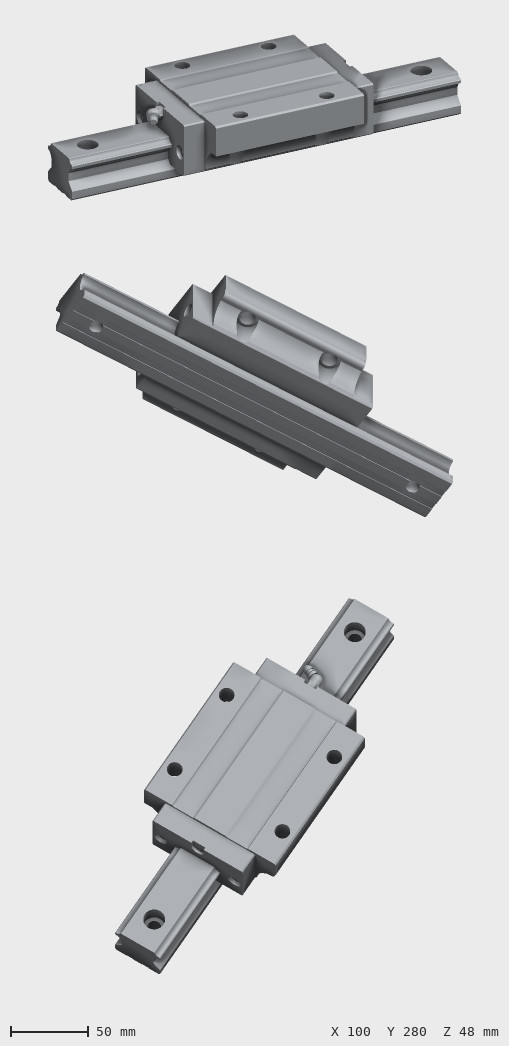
import cadquery as cq
import math


rail_length = 280.0
rail_height = 28.5
rail_half_width = 17.0
rail_neck_half_width = 11.8
rail_top_half_width = 13.0
rail_top_chamfer = 0.3
rail_foot_chamfer = 1.5
foot_side_top = 6.7
neck_top = 17.5
upper_lip_chamfer = 0.5
track_sag = 0.8
lower_track_z = (19.3, 22.7)
upper_track_z = (25.2, rail_height - rail_top_chamfer)
base_groove_inner = 3.5
base_groove_outer = 8.5
base_groove_depth = 0.5
rail_hole_diameter = 9.0
rail_bore_diameter = 14.0
rail_bore_depth = 12.0
rail_hole_end_distance = 20.0
rail_hole_y = rail_length / 2 - rail_hole_end_distance

total_height = 48.0
block_length = 106.7
flange_width = 100.0
flange_half_width = flange_width / 2
flange_underside = 27.0
flange_chamfer = 1.0
flange_corner_radius = 3.5
flange_step_z = 32.5
flange_step = 0.8
flange_step_slope_height = 1.0
carriage_bottom = 9.2
skirt_half_width = 35.3
skirt_chamfer = 2.2
flank_radius = 18.2
top_groove_depth = 0.8
top_groove_outer = (28.8, 28.3)
top_groove_inner = (11.5, 13.0)
mount_x = 41.0
mount_y = 31.0
mount_hole_diameter = 10.0
mount_relief_diameter = 14.3
cap_half_width = 34.2
cap_top = 45.5
cap_chamfer = 0.8
carriage_length = 136.5
cap_screw_x = 28.0
cap_screw_z = 23.8
cap_screw_bore_diameter = 9.5
cap_screw_bore_depth = 2.8
cap_screw_hole_diameter = 4.5
cap_screw_hole_depth = 5.5

nipple_z = 39.8
nipple_hex_corners = 9.2
nipple_hex_length = 4.2
nipple_pocket_depth = 2.0
nipple_ball_radius = nipple_hex_corners / 2 * math.cos(math.radians(30))
nipple_stem_length = 3.5
nipple_arm_angle = 22.5
arm_neck_radius = 2.38
arm_head_radius = 3.0
arm_tip_radius = 2.0
collar_radius = 3.5
collar_start = 3.5
collar_end = 5.0
ring_start = 6.0
ring_end = 7.0
head_start = 7.8
head_end = 9.5
nipple_reach = 11.5


def along_y(profile, length):
    """Extrude an XZ profile by length, centred on Y = 0."""
    return profile.extrude(length / 2, both=True)


def both_sides(half):
    """Join a +X half with its mirror image."""
    return half.union(half.mirror("YZ")).clean()


def track_middle(start, end):
    """Middle point of a ball track that runs upward from start to end, sunk into the rail."""
    dx = end[0] - start[0]
    dz = end[1] - start[1]
    chord = math.hypot(dx, dz)
    middle_x = (start[0] + end[0]) / 2
    middle_z = (start[1] + end[1]) / 2
    return (middle_x - dz / chord * track_sag, middle_z + dx / chord * track_sag)


def rail_bar():
    """Rail without its holes."""
    foot_slope_top = foot_side_top + rail_half_width - rail_neck_half_width
    lower_inner = (rail_top_half_width, lower_track_z[0])
    lower_outer = (rail_half_width, lower_track_z[1])
    upper_outer = (rail_half_width - upper_lip_chamfer, upper_track_z[0])
    upper_inner = (rail_top_half_width, upper_track_z[1])

    profile = (
        cq.Workplane("XZ")
        .lineTo(base_groove_inner, 0)
        .lineTo(base_groove_inner, base_groove_depth)
        .lineTo(base_groove_outer, base_groove_depth)
        .lineTo(base_groove_outer, 0)
        .lineTo(rail_half_width - rail_foot_chamfer, 0)
        .lineTo(rail_half_width, rail_foot_chamfer)
        .lineTo(rail_half_width, foot_side_top)
        .lineTo(rail_neck_half_width, foot_slope_top)
        .lineTo(rail_neck_half_width, neck_top)
        .lineTo(*lower_inner)
        .threePointArc(track_middle(lower_inner, lower_outer), lower_outer)
        .lineTo(rail_half_width, upper_track_z[0] - upper_lip_chamfer)
        .lineTo(*upper_outer)
        .threePointArc(track_middle(upper_outer, upper_inner), upper_inner)
        .lineTo(rail_top_half_width - rail_top_chamfer, rail_height)
        .lineTo(0, rail_height)
        .close()
    )
    return both_sides(along_y(profile, rail_length))


def make_rail(bar):
    """Rail with its counterbored screw holes."""
    return (
        bar.faces(">Z")
        .workplane(origin=(0, 0, rail_height))
        .pushPoints([(0, -rail_hole_y), (0, rail_hole_y)])
        .cboreHole(rail_hole_diameter, rail_bore_diameter, rail_bore_depth)
    )


def carriage_block():
    """Flanged middle length, with hollow flanks between the flanges and the skirt."""
    flank_bottom_z = carriage_bottom + skirt_chamfer
    flank_centre_x = skirt_half_width + flank_radius
    flank_angle = math.asin((flange_underside - flank_bottom_z) / flank_radius)

    def flank_point(angle):
        return (
            flank_centre_x - flank_radius * math.cos(angle),
            flank_bottom_z + flank_radius * math.sin(angle),
        )

    profile = (
        cq.Workplane("XZ")
        .moveTo(0, carriage_bottom)
        .lineTo(skirt_half_width - skirt_chamfer, carriage_bottom)
        .lineTo(skirt_half_width, flank_bottom_z)
        .threePointArc(flank_point(flank_angle / 2), flank_point(flank_angle))
        .lineTo(flange_half_width, flange_underside)
        .lineTo(flange_half_width, total_height - flange_chamfer)
        .lineTo(flange_half_width - flange_chamfer, total_height)
        .lineTo(0, total_height)
        .close()
    )
    return both_sides(along_y(profile, block_length))


def flange_step_cutter():
    """Stock removed where the lower side of the -X flange steps in and rounds under."""
    stepped_x = -(flange_half_width - flange_step)
    round_x = stepped_x + flange_corner_radius
    round_z = flange_underside + flange_corner_radius
    diagonal = flange_corner_radius * math.sqrt(0.5)
    profile = (
        cq.Workplane("XZ")
        .moveTo(-flange_half_width, flange_step_z)
        .lineTo(stepped_x, flange_step_z - flange_step_slope_height)
        .lineTo(stepped_x, round_z)
        .threePointArc((round_x - diagonal, round_z - diagonal), (round_x, flange_underside))
        .lineTo(-flange_half_width, flange_underside)
        .close()
    )
    return along_y(profile, block_length)


def top_grooves():
    """Shallow grooves with sloping walls along the top of the block."""
    floor_z = total_height - top_groove_depth
    profile = cq.Workplane("XZ").polyline([
        (top_groove_inner[0], total_height),
        (top_groove_inner[1], floor_z),
        (top_groove_outer[1], floor_z),
        (top_groove_outer[0], total_height),
    ]).close()
    groove = along_y(profile, block_length)
    return groove.union(groove.mirror("YZ"))


def mounting_holes():
    """Flange screw holes, with reliefs in the flanks below the flanges."""
    centres = [(x, y) for x in (-mount_x, mount_x) for y in (-mount_y, mount_y)]
    plane = cq.Workplane("XY").pushPoints(centres)
    holes = plane.circle(mount_hole_diameter / 2).extrude(total_height)
    reliefs = plane.circle(mount_relief_diameter / 2).extrude(flange_underside)
    return holes.union(reliefs)


def end_caps():
    """Bar that runs through the block and shows at its ends as the two end caps."""
    return (
        cq.Workplane("XY", origin=(0, 0, carriage_bottom))
        .rect(2 * cap_half_width, carriage_length)
        .extrude(cap_top - carriage_bottom)
        .edges("|Y")
        .chamfer(cap_chamfer)
    )


def front_cap_cuts():
    """Nipple pocket, open at the top, and stepped screw holes in the -Y end cap."""
    front = cq.Workplane("XZ", origin=(0, -carriage_length / 2, 0))
    pocket_width = nipple_hex_corners
    pocket = front.center(0, nipple_z).circle(pocket_width / 2).extrude(-nipple_pocket_depth)
    pocket_slot = (
        front.center(0, (nipple_z + cap_top) / 2)
        .rect(pocket_width, cap_top - nipple_z)
        .extrude(-nipple_pocket_depth)
    )
    screws = front.pushPoints([(-cap_screw_x, cap_screw_z), (cap_screw_x, cap_screw_z)])
    bores = screws.circle(cap_screw_bore_diameter / 2).extrude(-cap_screw_bore_depth)
    holes = screws.circle(cap_screw_hole_diameter / 2).extrude(-cap_screw_hole_depth)
    return pocket.union(pocket_slot).union(bores).union(holes)


def make_carriage(bar):
    """Block and end caps in one piece, fitted around the rail."""
    cap_cuts = front_cap_cuts()
    return (
        carriage_block()
        .cut(flange_step_cutter())
        .cut(top_grooves())
        .union(end_caps())
        .cut(mounting_holes())
        .cut(bar)
        .cut(cap_cuts)
        .cut(cap_cuts.mirror("XZ"))
    )


def nipple_arm():
    """Turned arm with collar, ring and tapered head, from the ball centre along +X."""
    return cq.Workplane("XY").polyline([
        (0, 0),
        (0, arm_neck_radius),
        (collar_start, arm_neck_radius),
        (collar_start, collar_radius),
        (collar_end, collar_radius),
        (collar_end, arm_neck_radius),
        (ring_start, arm_neck_radius),
        (ring_start, arm_head_radius),
        (ring_end, arm_head_radius),
        (ring_end, arm_neck_radius),
        (head_start, arm_neck_radius),
        (head_start, arm_head_radius),
        (head_end, arm_head_radius),
        (nipple_reach, arm_tip_radius),
        (nipple_reach, 0),
    ]).close().revolve(360, (0, 0, 0), (1, 0, 0))


def make_nipple():
    """Angled grease nipple seated in the front end cap's pocket."""
    seat_y = -carriage_length / 2 + nipple_pocket_depth
    ball_y = seat_y - nipple_hex_length - nipple_stem_length
    seat = cq.Workplane("XZ", origin=(0, seat_y, nipple_z))
    hexagon = seat.polygon(6, nipple_hex_corners).extrude(nipple_hex_length)
    stem = seat.circle(nipple_ball_radius).extrude(seat_y - ball_y)
    ball = cq.Workplane("XY").sphere(nipple_ball_radius)
    arm = nipple_arm().rotate((0, 0, 0), (0, 0, 1), -nipple_arm_angle)
    elbow = ball.union(arm).translate((0, ball_y, nipple_z))
    return hexagon.union(stem).union(elbow)


solid_rail_bar = rail_bar()
rail = make_rail(solid_rail_bar)
carriage = make_carriage(solid_rail_bar)
nipple = make_nipple()

result = cq.Compound.makeCompound([body.solids().val() for body in (rail, carriage, nipple)])